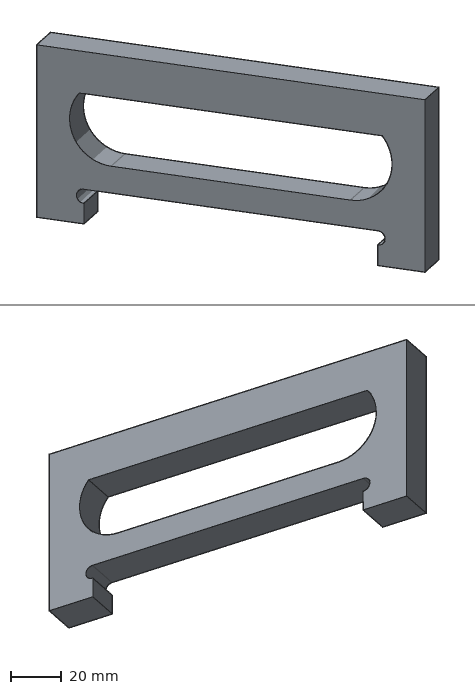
import cadquery as cq

length = 165.0
thickness = 15.0
height = 73.0

opening_length = 137.0
opening_bottom = 26.0
opening_top = 55.1
end_radius = 17.7

foot_width = 20.1
foot_height = 8.7
recess_top = 14.7
undercut_length = 131.0


def through_box(width, bottom, top):
    """Block through the plate thickness, centred on X."""
    return cq.Workplane("XY").box(width, thickness, top - bottom, centered=(True, True, False)).translate(
        (0, 0, bottom)
    )


def through_slot(width, bottom, diameter):
    """Round-ended slot through the plate thickness, centred on X."""
    return (
        cq.Workplane("XZ")
        .center(0, bottom + diameter / 2)
        .slot2D(width, diameter)
        .extrude(thickness / 2, both=True)
    )


plate = through_box(length, 0, height)

opening = through_slot(opening_length, opening_bottom, 2 * end_radius).intersect(
    through_box(length, opening_bottom, opening_top)
)

recess = through_box(length - 2 * foot_width, 0, recess_top)
undercut = through_slot(undercut_length, foot_height, recess_top - foot_height)

result = plate.cut(opening).cut(recess).cut(undercut)